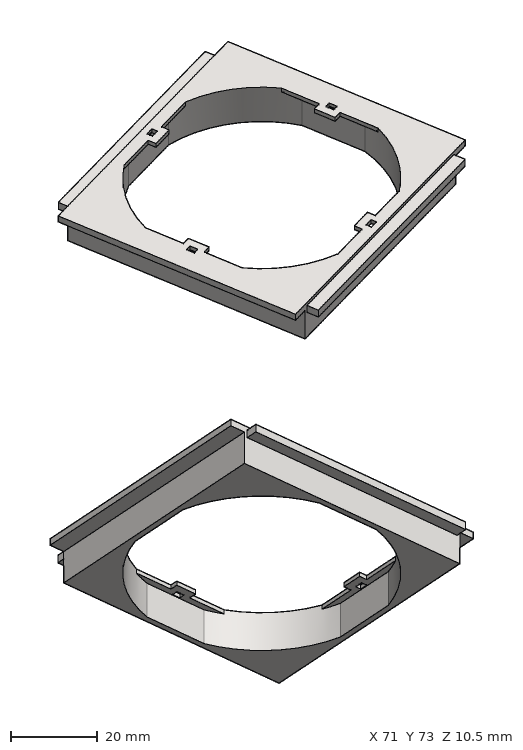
import cadquery as cq

plate_length = 73.0
body_side = 64.8
total_width = 71.0
total_height = 10.5
plate_thickness = 1.8

rail_length = 63.15
rail_thickness = 2.1
rail_drop = 0.9

bore_radius = 32.05
lip_flat = 29.2
wall_flat = 30.9
lip_thickness = 1.2

tab_width = 5.7
tab_reach = 2.1
window_width = 2.1
window_depth = 1.45


def block(width, length, bottom, top):
    """Box centred on the Z axis, spanning the given heights."""
    return (
        cq.Workplane("XY")
        .workplane(offset=bottom)
        .rect(width, length)
        .extrude(top - bottom)
    )


def flatted_bore(flat_distance, bottom, top):
    """Cylinder trimmed by four flats at flat_distance from the axis."""
    cylinder = cq.Workplane("XY").workplane(offset=bottom).circle(bore_radius).extrude(top - bottom)
    return cylinder.intersect(block(2 * flat_distance, 2 * flat_distance, bottom, top))


def tab_block(inner, outer, width, angle):
    """Lip-height box between two distances from the axis, turned about the axis."""
    box = block(outer - inner, width, lip_bottom, total_height)
    return box.translate(((inner + outer) / 2, 0, 0)).rotate((0, 0, 0), (0, 0, 1), angle)


lip_bottom = total_height - lip_thickness
rail_top = total_height - rail_drop

body = block(body_side, body_side, 0, total_height)
plate = block(body_side, plate_length, total_height - plate_thickness, total_height)
rails = block(total_width, rail_length, rail_top - rail_thickness, rail_top)
result = body.union(plate).union(rails)

result = result.cut(flatted_bore(wall_flat, 0, lip_bottom))
result = result.cut(flatted_bore(lip_flat, lip_bottom, total_height))

for angle in (0, 90, 180, 270):
    result = result.union(tab_block(lip_flat - tab_reach, wall_flat, tab_width, angle))
    result = result.cut(tab_block(lip_flat, lip_flat + window_depth, window_width, angle))